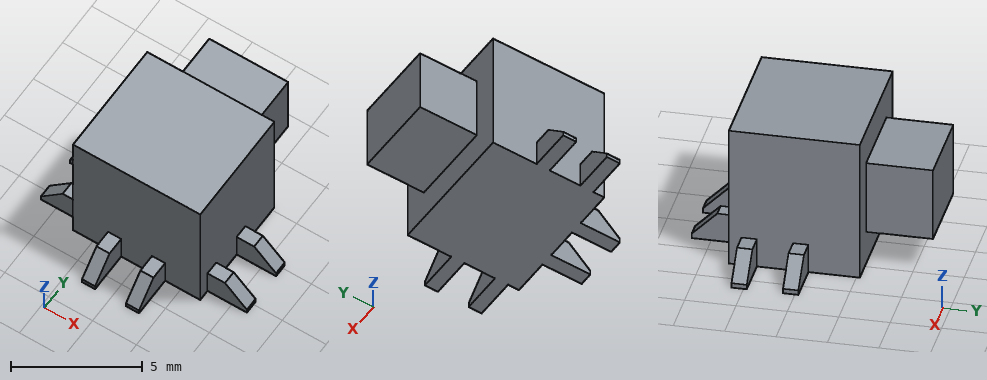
import cadquery as cq

body_width = 5.8
body_depth = 5.1
body_height = 5.8

plunger_width = 3.6
plunger_length = 2.6
plunger_height = 3.0
plunger_bottom = 1.4

leg_length = 1.8
leg_width = 0.6
leg_height = 1.2
leg_flat = 0.8
leg_tip_height = 0.2
leg_pitch = 2.0
first_side_leg_y = 0.8


def make_leg():
    """Leg pointing along +X, rooted on X = 0 and centred on Y = 0."""
    return (
        cq.Workplane("XZ")
        .moveTo(0, 0)
        .lineTo(leg_length, 0)
        .lineTo(leg_length, leg_tip_height)
        .lineTo(leg_flat, leg_height)
        .lineTo(0, leg_height)
        .close()
        .extrude(leg_width / 2, both=True)
    )


def place_leg(angle, x, y):
    """Leg turned about Z by angle, with its root at (x, y)."""
    return make_leg().rotate((0, 0, 0), (0, 0, 1), angle).translate((x, y, 0))


body = cq.Workplane("XY").box(body_width, body_depth, body_height, centered=(True, False, False))

plunger = (
    cq.Workplane("XY")
    .box(plunger_width, plunger_length, plunger_height, centered=(True, False, False))
    .translate((0, body_depth, plunger_bottom))
)

result = body.union(plunger)

for leg_y in (first_side_leg_y, first_side_leg_y + leg_pitch):
    result = result.union(place_leg(0, body_width / 2, leg_y))
    result = result.union(place_leg(180, -body_width / 2, leg_y))

for leg_x in (-leg_pitch / 2, leg_pitch / 2):
    result = result.union(place_leg(-90, leg_x, 0))